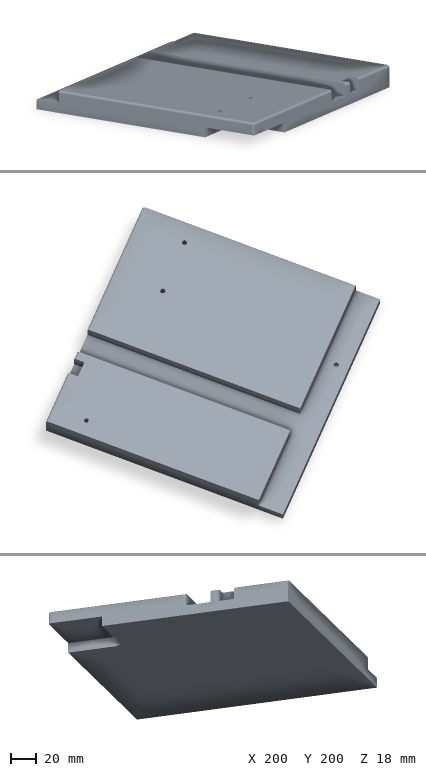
import cadquery as cq

side = 200.0
thickness = 18.0
base_height = 8.0

strip_width = 20.5
channel_start = 114.8
channel_width = 20.5

edge_radius = 2.0

notch_length = 8.5
notch_start = 142.0
notch_width = 13.0

relief_size = 45.0
relief_corner_radius = 6.0

small_hole_diameter = 3.5
large_hole_diameter = 4.0
pad_hole_depth = 8.0
strip_hole_depth = 4.0
strip_hole = (10.2, 65.2)
rear_pad_hole = (171.0, 187.5)
front_pad_holes = [(158.0, 17.0), (158.0, 62.0)]


def block(x_start, y_start, z_start, x_size, y_size, z_size):
    """Box placed by its lower front left corner."""
    box = cq.Workplane("XY").box(x_size, y_size, z_size, centered=False)
    return box.translate((x_start, y_start, z_start))


def rounded_plate():
    """Full plate with rounded front right edges above the base."""
    upper = block(0, 0, base_height, side, side, thickness - base_height)
    upper = upper.edges(">X and <Y").fillet(edge_radius)
    upper = upper.faces(">Z").edges("<Y or >X").fillet(edge_radius)
    return block(0, 0, 0, side, side, base_height).union(upper)


def corner_relief():
    """Cutter below the front right corner, with a rounded inner corner."""
    cutter = block(side - relief_size, 0, 0, relief_size, relief_size, base_height)
    return cutter.edges("|Z and <X and >Y").fillet(relief_corner_radius)


def holes(diameter, centers, top, depth):
    """Cutter for vertical holes drilled down from the given height."""
    plane = cq.Workplane("XY").workplane(offset=top)
    return plane.pushPoints(centers).circle(diameter / 2).extrude(-depth)


pad_height = thickness - base_height
strip = block(0, 0, base_height, strip_width, side, pad_height)
channel = block(0, channel_start, base_height, side, channel_width, pad_height)
notch = block(side - notch_length, notch_start, base_height, notch_length, notch_width, pad_height)

result = rounded_plate().cut(strip).cut(channel).cut(notch).cut(corner_relief())
result = result.cut(holes(large_hole_diameter, front_pad_holes, thickness, pad_hole_depth))
result = result.cut(holes(small_hole_diameter, [rear_pad_hole], thickness, pad_hole_depth))
result = result.cut(holes(large_hole_diameter, [strip_hole], base_height, strip_hole_depth))